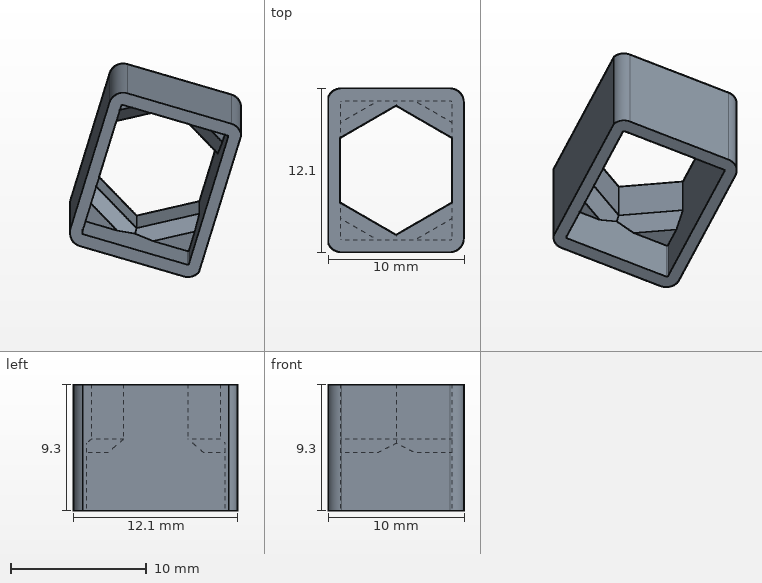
import cadquery as cq
import math

width = 10.02
length = 12.1
height = 9.3
corner_radius = 1.05
side_trim = 0.07

hex_across_flats = 8.23
hex_depth = 3.99
flare_height = 1.0

chamber_width = hex_across_flats
chamber_length = 10.22
chamber_corner_radius = 0.11
chamber_height = height - hex_depth


def make_block():
    """Rounded block, with its -X side trimmed flat through the corner arcs."""
    full_width = width + side_trim
    block = (
        cq.Workplane("XY")
        .center(-side_trim / 2, 0)
        .rect(full_width, length)
        .extrude(height)
        .edges("|Z")
        .fillet(corner_radius)
    )
    envelope = cq.Workplane("XY").box(width, length, height, centered=(True, True, False))
    return block.intersect(envelope)


def hexagon_points(across_flats):
    """Corners of a hexagon with two of them on the Y axis."""
    radius = across_flats / math.sqrt(3)
    angles = [math.radians(30 + 60 * i) for i in range(6)]
    return [(radius * math.cos(a), radius * math.sin(a)) for a in angles]


def make_hex_socket():
    return (
        cq.Workplane("XY", origin=(0, 0, chamber_height))
        .polyline(hexagon_points(hex_across_flats))
        .close()
        .extrude(hex_depth)
    )


def make_chamber():
    """Rectangular chamber whose ceiling rises at 45 degrees to the hexagon."""
    chamber = (
        cq.Workplane("XY")
        .rect(chamber_width, chamber_length)
        .extrude(chamber_height)
        .edges("|Z")
        .fillet(chamber_corner_radius)
    )
    flare_base = chamber_height - flare_height
    lower = chamber.intersect(
        cq.Workplane("XY").box(width, length, flare_base, centered=(True, True, False))
    )
    flare = (
        cq.Workplane("XY", origin=(0, 0, flare_base))
        .polyline(hexagon_points(hex_across_flats + 2 * flare_height))
        .close()
        .workplane(offset=flare_height)
        .polyline(hexagon_points(hex_across_flats))
        .close()
        .loft(ruled=True)
    )
    return lower.union(flare.intersect(chamber))


result = make_block().cut(make_hex_socket()).cut(make_chamber())